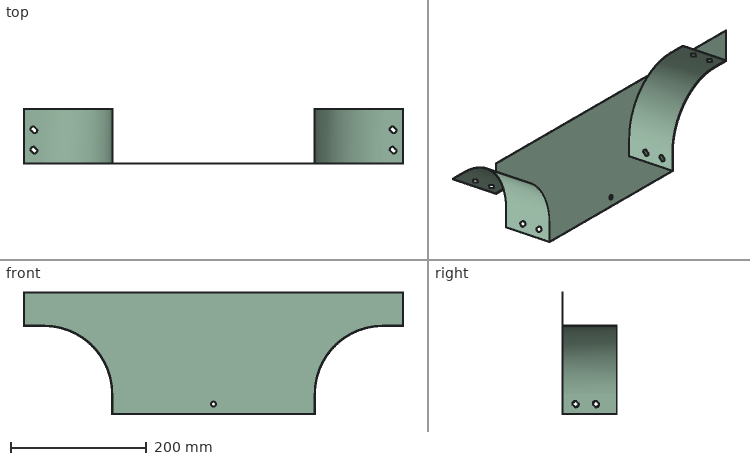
import math

import cadquery as cq


sheet = 1.0
overall_width = 560.0
band_height = 50.0
bend_radius = 100.0
tab_length = 30.0
overall_depth = 81.0
hole_edge_distance = 15.0
web_hole_diameter = 7.0

tab_hole_diameter = 10.1
tab_hole_across_flats = 7.0
tab_hole_angle = 45.0
tab_hole_rows = (20.0, 50.0)

end_x = overall_width / 2
bend_x = end_x - tab_length
bend_z = tab_length
leg_x = bend_x - bend_radius
shoulder_z = bend_z + bend_radius
overall_height = shoulder_z + band_height


def bend_midpoint(radius):
    """Point halfway along the quarter-round bend of the given radius."""
    reach = radius * math.sqrt(0.5)
    return (bend_x - reach, bend_z + reach)


def make_web():
    """Flat web with a quarter-round cut-out on each side and a hole near its bottom edge."""
    half_web = (
        cq.Workplane("XZ")
        .moveTo(0, 0)
        .lineTo(leg_x, 0)
        .lineTo(leg_x, bend_z)
        .threePointArc(bend_midpoint(bend_radius), (bend_x, shoulder_z))
        .lineTo(end_x, shoulder_z)
        .lineTo(end_x, overall_height)
        .lineTo(0, overall_height)
        .close()
        .extrude(-sheet)
    )
    web = half_web.union(half_web.mirror("YZ"))
    hole = (
        cq.Workplane("XZ")
        .center(0, hole_edge_distance)
        .circle(web_hole_diameter / 2)
        .extrude(-sheet)
    )
    return web.cut(hole)


def make_flange():
    """Right-hand flange: two straight tabs joined by a quarter-round bend."""
    outer_radius = bend_radius + sheet
    return (
        cq.Workplane("XZ")
        .moveTo(leg_x, 0)
        .lineTo(leg_x, bend_z)
        .threePointArc(bend_midpoint(bend_radius), (bend_x, shoulder_z))
        .lineTo(end_x, shoulder_z)
        .lineTo(end_x, shoulder_z + sheet)
        .lineTo(bend_x, shoulder_z + sheet)
        .threePointArc(bend_midpoint(outer_radius), (leg_x - sheet, bend_z))
        .lineTo(leg_x - sheet, 0)
        .close()
        .extrude(-overall_depth)
    )


def tab_hole(plane, centre, angle):
    """Cutter one sheet thick: a round hole with two flats, which run at the given angle."""
    half_flats = tab_hole_across_flats / 2
    half_chord = math.sqrt((tab_hole_diameter / 2) ** 2 - half_flats ** 2)
    return (
        cq.Workplane(plane, origin=centre)
        .transformed(rotate=(0, 0, angle))
        .moveTo(-half_chord, -half_flats)
        .lineTo(half_chord, -half_flats)
        .threePointArc((tab_hole_diameter / 2, 0), (half_chord, half_flats))
        .lineTo(-half_chord, half_flats)
        .threePointArc((-tab_hole_diameter / 2, 0), (-half_chord, -half_flats))
        .close()
        .extrude(sheet)
    )


def cut_tab_holes(body):
    """Cut two holes in each of the four tabs."""
    upper_x = end_x - hole_edge_distance
    for y in tab_hole_rows:
        for x in (-upper_x, upper_x):
            body = body.cut(tab_hole("XY", (x, y, shoulder_z), -tab_hole_angle))
        body = body.cut(tab_hole("YZ", (-leg_x, y, hole_edge_distance), tab_hole_angle))
        body = body.cut(tab_hole("YZ", (leg_x - sheet, y, hole_edge_distance), -tab_hole_angle))
    return body


right_flange = make_flange()
left_flange = right_flange.mirror("YZ")

result = cut_tab_holes(make_web().union(right_flange).union(left_flange))